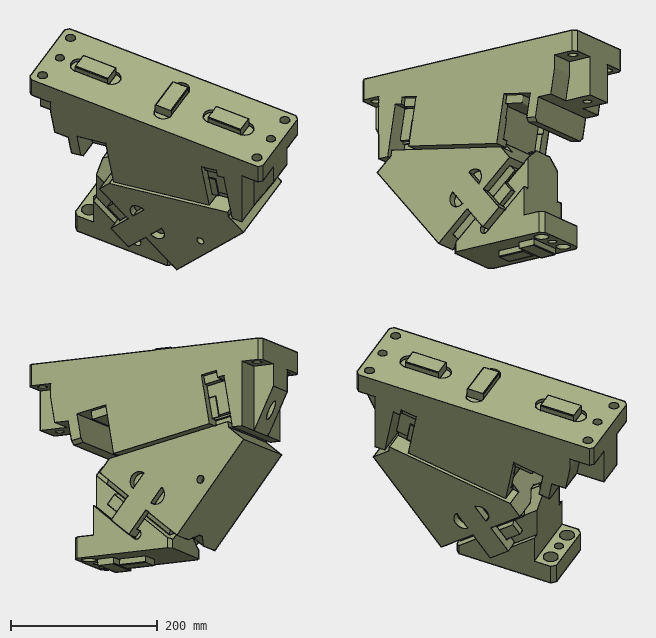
import cadquery as cq
import math


HALF_WIDTH = 55.0
FAR = 360.0
CORNER_CHAMFER = 5.0
DOWEL_DIAMETER = 12.2

KEY_HEIGHT = 9.0
KEY_LENGTH = 50.0
KEY_WIDTH = 25.0
KEY_EDGE_CHAMFER = 1.0

OVERALL_HEIGHT = 293.0
DRIVER_BOTTOM = KEY_HEIGHT
HOLDER_TOP = OVERALL_HEIGHT - KEY_HEIGHT

GUIDE_ANGLE = 10.0
GUIDE_ORIGIN = (127.8, 140.5)

RAMP_ANGLE = -40.0
RAMP_ORIGIN = (110.0, 122.0)

HOLDER_LENGTH = 360.0
PLATE_THICKNESS = 30.0
PLATE_BOTTOM = HOLDER_TOP - PLATE_THICKNESS
REAR_WEB_BOTTOM = HOLDER_TOP - 85.0
FRONT_HOOK_BOTTOM = HOLDER_TOP - 120.0
FRONT_WEB_CORNER = HOLDER_TOP - 61.0
WEB_HALF_WIDTH = 20.0
REAR_RELIEF_X = 34.5
REAR_RELIEF_SLOPE_TOP = PLATE_BOTTOM - 18.5
FRONT_RELIEF_X = 330.0

ROOF_H = 75.2
REAR_HOOK_S = (-54.7, -40.0)
REAR_HOOK_TIP_H = 35.3
REAR_HOOK_CHAMFER = 5.5
WALL_S = (5.0, 155.0)
WALL_BOTTOM_H = 5.0
FRONT_NOTCH_S = 178.5
FRONT_SLOT_S = 188.5

CHANNEL_TOP_H = 65.0
CHANNEL_HALF_WIDTH = 43.2
GIB_TOP_H = 14.8
GIB_GAP_HALF_WIDTH = 34.0
TOP_PAD_START_S = -22.5
TOP_PAD_BOTTOM_H = 63.5
SLIDING_EDGE_RADIUS = 1.8
TOP_PAD_HALF_WIDTH = 48.2
SIDE_PAD_END_S = 165.2
SIDE_PAD_TOP_H = 44.5
SIDE_PAD_INNER_Y = 41.5

SCREW_DIAMETER = 13.5
HOLDER_SCREW_X = (14.5, 345.5)
HOLDER_SCREW_Y = 40.5
HOLDER_DOWEL_X = (19.5, 345.5)
HOLDER_KEY_X = (75.0, 192.5, 280.0)
HOLDER_KEY_TURNS = (0, 90, 0)
KEY_POCKET_DEPTH = 5.0

SLIDE_LENGTH_U = 156.0
SLIDE_HEIGHT_V = 160.5
SLIDE_END_S = 183.2
FRONT_CORNER_LENGTH = 18.0
FRONT_CORNER_DEPTH = 7.5
STEM_HALF_WIDTH = 28.0
NECK_HALF_WIDTH = 32.5
HEAD_HALF_WIDTH = 39.5
HEAD_TOP_H = TOP_PAD_BOTTOM_H
HEAD_BOTTOM_H = 18.0
NECK_BOTTOM_H = 15.0
HEAD_START_S = 12.2

RIB_U = (10.8, 135.7)
RIB_BOTTOM_V = -8.5
VEE_CLEARANCE = 1.0
RIB_HALF_WIDTH = (38.5, 43.2)

CLAW_U = (57.5, 93.2)
CLAW_BOTTOM_V = -41.0
CLAW_TOP_V = -30.0
CLAW_PLATE_INNER_Y = 44.3
CLAW_TOE_INNER_Y = 35.0
CLAW_SLOT_V = (12.2, 37.8)

SIDE_HOLE_UV = (136.0, 80.3)
SIDE_HOLE_DIAMETER = 10.8
SIDE_HOLE_DEPTH = 14.5
DRILL_HALF_ANGLE = 59.0

DRIVER_X = (63.5, 214.0)
REAR_CORNER_CHAMFER = 6.0
DRIVER_HALF_WIDTH = 43.2
FLANGE_THICKNESS = 30.0
POST_REAR_X = 94.5
POST_TOP = 139.5
RIDGE_V = 10.8
RIDGE_HALF_WIDTH = 4.5
SHELF_HALF_WIDTH = 34.5
SHELF_V = -9.0
LUG_TOP_V = -12.2
LUG_START_U = 32.0
GROOVE_V = (-42.3, -28.98)
GROOVE_END_U = 96.5

FLANGE_SCREW_DIAMETER = 20.0
FLANGE_SCREW_Y = 25.2
FLANGE_HOLE_X = 78.0
CROSS_KEY_X = 103.5
LONG_KEY_X = 138.5
LONG_KEY_LENGTH = 40.5


def side_plane(origin, angle):
    """Plane square to Y whose local x axis runs along the slope."""
    slope = math.radians(angle)
    along = (math.cos(slope), 0, math.sin(slope))
    return cq.Plane(origin=(origin[0], 0, origin[1]), xDir=along, normal=(0, -1, 0))


def section_plane(origin, angle):
    """Plane square to the slope: local x is Y and local y is the distance above the slope."""
    slope = math.radians(angle)
    along = (math.cos(slope), 0, math.sin(slope))
    return cq.Plane(origin=(origin[0], 0, origin[1]), xDir=(0, 1, 0), normal=along)


GUIDE_SIDE = side_plane(GUIDE_ORIGIN, GUIDE_ANGLE)
RAMP_SIDE = side_plane(RAMP_ORIGIN, RAMP_ANGLE)
GUIDE_SECTION = section_plane(GUIDE_ORIGIN, GUIDE_ANGLE)
RAMP_SECTION = section_plane(RAMP_ORIGIN, RAMP_ANGLE)


def guide_point(s, h):
    """X and Z of a point of the guide frame."""
    point = GUIDE_SIDE.toWorldCoords((s, h, 0))
    return (point.x, point.z)


def guide_point_at_height(s, z):
    """X and Z of the point at height z on the line of constant s."""
    slope = math.radians(GUIDE_ANGLE)
    h = (z - GUIDE_ORIGIN[1] - s * math.sin(slope)) / math.cos(slope)
    return guide_point(s, h)


def side_box(plane, along, across, y_range):
    """Box given by its ranges along the slope, square to the slope, and in Y."""
    return (
        cq.Workplane(plane)
        .workplane(offset=-y_range[1])
        .center(sum(along) / 2, sum(across) / 2)
        .rect(along[1] - along[0], across[1] - across[0])
        .extrude(y_range[1] - y_range[0])
    )


def section_prism(plane, points, start, end):
    """Closed section swept straight along the slope from start to end."""
    return cq.Workplane(plane).workplane(offset=start).polyline(points).close().extrude(end - start)


def xz_prism(points, half_width):
    """Closed X-Z outline extruded evenly to both sides of Y = 0."""
    return cq.Workplane("XZ").polyline(points).close().extrude(half_width, both=True)


def box_between(x_range, y_range, z_range):
    """Box given by its ranges in X, Y and Z."""
    size = [high - low for low, high in (x_range, y_range, z_range)]
    corner = (x_range[0], y_range[0], z_range[0])
    return cq.Workplane("XY").box(*size, centered=False).translate(corner)


def with_mirror(body):
    """The body together with its mirror image across Y = 0."""
    return body.union(body.mirror("XZ"))


def vertical_holes(points, diameter):
    """Through-cutting cylinders along Z."""
    return cq.Workplane("XY").pushPoints(points).circle(diameter / 2).extrude(FAR)


def key(length, outer_face):
    """Key along X centred on Z = 0; the long edges of its outer face are chamfered."""
    block = cq.Workplane("XY").box(length, KEY_WIDTH, 2 * KEY_HEIGHT)
    return block.faces(outer_face).edges("|X").chamfer(KEY_EDGE_CHAMFER)


def holder_outline():
    """Side outline of the holder below its plate, from the top rear corner clockwise."""
    return [
        (0, PLATE_BOTTOM),
        (HOLDER_LENGTH, PLATE_BOTTOM),
        (HOLDER_LENGTH, FRONT_WEB_CORNER),
        (FRONT_RELIEF_X, FRONT_HOOK_BOTTOM),
        guide_point_at_height(FRONT_SLOT_S, FRONT_HOOK_BOTTOM),
        guide_point(FRONT_SLOT_S, CHANNEL_TOP_H),
        guide_point(FRONT_NOTCH_S, CHANNEL_TOP_H),
        guide_point(FRONT_NOTCH_S, ROOF_H),
        guide_point(WALL_S[1], ROOF_H),
        guide_point(WALL_S[1], WALL_BOTTOM_H),
        guide_point(WALL_S[0], WALL_BOTTOM_H),
        guide_point(WALL_S[0], ROOF_H),
        guide_point(REAR_HOOK_S[1], ROOF_H),
        guide_point(REAR_HOOK_S[1], REAR_HOOK_TIP_H),
        guide_point(REAR_HOOK_S[0], REAR_HOOK_TIP_H),
        guide_point_at_height(REAR_HOOK_S[0], REAR_WEB_BOTTOM),
        (0, REAR_WEB_BOTTOM),
    ]


def end_reliefs():
    """Side cuts that leave only a central web under both ends of the plate."""
    y_range = (WEB_HALF_WIDTH, FAR)
    slope_run = (REAR_RELIEF_SLOPE_TOP - REAR_WEB_BOTTOM) * math.tan(math.radians(GUIDE_ANGLE))
    rear_points = [
        (0, PLATE_BOTTOM),
        (REAR_RELIEF_X, PLATE_BOTTOM),
        (REAR_RELIEF_X, REAR_RELIEF_SLOPE_TOP),
        (REAR_RELIEF_X + slope_run, REAR_WEB_BOTTOM),
        (0, REAR_WEB_BOTTOM),
    ]
    rear = xz_prism(rear_points, FAR).intersect(box_between((0, FAR), y_range, (0, PLATE_BOTTOM)))
    front = box_between((FRONT_RELIEF_X, HOLDER_LENGTH), y_range, (0, PLATE_BOTTOM))
    return with_mirror(rear.union(front))


def rear_hook_chamfers():
    """Wedges that bevel the outer corners of the rear hook's tip."""
    points = [
        (HALF_WIDTH - REAR_HOOK_CHAMFER, REAR_HOOK_TIP_H),
        (HALF_WIDTH, REAR_HOOK_TIP_H),
        (HALF_WIDTH, REAR_HOOK_TIP_H + REAR_HOOK_CHAMFER),
    ]
    return with_mirror(section_prism(GUIDE_SECTION, points, REAR_HOOK_S[0], REAR_HOOK_S[1]))


def holder_channel():
    """T channel between the walls, with the narrower gap between the gibs below it."""
    points = [
        (-CHANNEL_HALF_WIDTH, CHANNEL_TOP_H),
        (CHANNEL_HALF_WIDTH, CHANNEL_TOP_H),
        (CHANNEL_HALF_WIDTH, GIB_TOP_H),
        (GIB_GAP_HALF_WIDTH, GIB_TOP_H),
        (GIB_GAP_HALF_WIDTH, WALL_BOTTOM_H),
        (-GIB_GAP_HALF_WIDTH, WALL_BOTTOM_H),
        (-GIB_GAP_HALF_WIDTH, GIB_TOP_H),
        (-CHANNEL_HALF_WIDTH, GIB_TOP_H),
    ]
    return section_prism(GUIDE_SECTION, points, WALL_S[0], WALL_S[1])


def holder_pads():
    """Wear pads of the channel: one on its roof and one on each side wall."""
    top_pad = side_box(
        GUIDE_SIDE,
        (TOP_PAD_START_S, FRONT_NOTCH_S),
        (TOP_PAD_BOTTOM_H, ROOF_H),
        (-TOP_PAD_HALF_WIDTH, TOP_PAD_HALF_WIDTH),
    )
    top_pad = top_pad.faces("<Z").edges().fillet(SLIDING_EDGE_RADIUS)
    side_pad = side_box(
        GUIDE_SIDE,
        (WALL_S[0], SIDE_PAD_END_S),
        (GIB_TOP_H, SIDE_PAD_TOP_H),
        (SIDE_PAD_INNER_Y, CHANNEL_HALF_WIDTH),
    )
    return top_pad.union(with_mirror(side_pad))


def make_holder():
    plate = box_between((0, HOLDER_LENGTH), (-HALF_WIDTH, HALF_WIDTH), (PLATE_BOTTOM, HOLDER_TOP))
    plate = plate.edges("|Z").chamfer(CORNER_CHAMFER)
    body = plate.union(xz_prism(holder_outline(), HALF_WIDTH))
    body = body.cut(end_reliefs()).cut(rear_hook_chamfers()).cut(holder_channel())
    body = body.union(holder_pads())

    screws = [(x, side * HOLDER_SCREW_Y) for x in HOLDER_SCREW_X for side in (-1, 1)]
    body = body.cut(vertical_holes(screws, SCREW_DIAMETER))
    body = body.cut(vertical_holes([(x, 0) for x in HOLDER_DOWEL_X], DOWEL_DIAMETER))

    for x, turn in zip(HOLDER_KEY_X, HOLDER_KEY_TURNS):
        pocket = (
            cq.Workplane("XY", origin=(x, 0, HOLDER_TOP))
            .slot2D(KEY_LENGTH + KEY_WIDTH, KEY_WIDTH, turn)
            .extrude(-KEY_POCKET_DEPTH)
        )
        top_key = key(KEY_LENGTH, ">Z").rotate((0, 0, 0), (0, 0, 1), turn)
        body = body.cut(pocket).union(top_key.translate((x, 0, HOLDER_TOP)))
    return body


def slide_block():
    """Main block square to the ramp and cut off by the shoulder, with a squared front corner."""
    across = (-HALF_WIDTH, HALF_WIDTH)
    ramp_block = side_box(RAMP_SIDE, (0, SLIDE_LENGTH_U), (0, SLIDE_HEIGHT_V), across)
    below_shoulder = side_box(GUIDE_SIDE, (-FAR, FAR), (-FAR, 0), across)
    front_corner_s = (SLIDE_END_S - FRONT_CORNER_LENGTH, SLIDE_END_S)
    front_corner = side_box(GUIDE_SIDE, front_corner_s, (-FRONT_CORNER_DEPTH, 0), across)
    return ramp_block.intersect(below_shoulder).union(front_corner)


def slide_tee():
    """T-shaped tongue that hangs the slide in the holder, with a heel flush with the rear face."""
    half_section = [
        (STEM_HALF_WIDTH, 0),
        (STEM_HALF_WIDTH, NECK_BOTTOM_H),
        (NECK_HALF_WIDTH, NECK_BOTTOM_H),
        (NECK_HALF_WIDTH, HEAD_BOTTOM_H),
        (HEAD_HALF_WIDTH, HEAD_BOTTOM_H),
        (HEAD_HALF_WIDTH, HEAD_TOP_H),
    ]
    points = half_section + [(-y, h) for y, h in reversed(half_section)]
    tee = section_prism(GUIDE_SECTION, points, HEAD_START_S, SLIDE_END_S)
    tee = tee.faces(">Z").edges(">Y or <Y").fillet(SLIDING_EDGE_RADIUS)
    heel = side_box(
        GUIDE_SIDE,
        (-HEAD_START_S, HEAD_START_S),
        (0, NECK_BOTTOM_H),
        (-STEM_HALF_WIDTH, STEM_HALF_WIDTH),
    )
    ahead_of_rear_face = side_box(RAMP_SIDE, (0, FAR), (-FAR, FAR), (-HALF_WIDTH, HALF_WIDTH))
    return tee.union(heel.intersect(ahead_of_rear_face))


def slide_rib():
    """Bevelled rib under the block, which runs along the driver's ridge."""
    bottom, root = RIB_HALF_WIDTH
    points = [(-root, 0), (root, 0), (bottom, RIB_BOTTOM_V), (-bottom, RIB_BOTTOM_V)]
    return section_prism(RAMP_SECTION, points, RIB_U[0], RIB_U[1])


def vee_groove():
    """V cut that fits over the driver's ridge with a small clearance."""
    bottom = SHELF_V + VEE_CLEARANCE
    top = RIDGE_V + VEE_CLEARANCE
    points = [
        (-SHELF_HALF_WIDTH, bottom),
        (-RIDGE_HALF_WIDTH, top),
        (RIDGE_HALF_WIDTH, top),
        (SHELF_HALF_WIDTH, bottom),
        (SHELF_HALF_WIDTH, RIB_BOTTOM_V),
        (-SHELF_HALF_WIDTH, RIB_BOTTOM_V),
    ]
    return section_prism(RAMP_SECTION, points, -FAR, FAR)


def claw_pockets():
    """Slot with round ends in each side; the claw plate fills all but its two ends."""
    low, high = CLAW_SLOT_V
    radius = (high - low) / 2
    ends = [(u, (low + high) / 2) for u in CLAW_U]
    rounds = (
        cq.Workplane(RAMP_SIDE)
        .workplane(offset=CLAW_PLATE_INNER_Y)
        .pushPoints(ends)
        .circle(radius)
        .extrude(HALF_WIDTH - CLAW_PLATE_INNER_Y)
    )
    plate = side_box(RAMP_SIDE, CLAW_U, CLAW_SLOT_V, (-HALF_WIDTH, HALF_WIDTH))
    return with_mirror(rounds.cut(plate))


def claws():
    """Plates down both sides of the driver, with toes that hook under its lugs."""
    plate = side_box(RAMP_SIDE, CLAW_U, (CLAW_BOTTOM_V, 0), (CLAW_PLATE_INNER_Y, HALF_WIDTH))
    toe = side_box(RAMP_SIDE, CLAW_U, (CLAW_BOTTOM_V, CLAW_TOP_V), (CLAW_TOE_INNER_Y, HALF_WIDTH))
    return with_mirror(plate.union(toe))


def side_hole():
    """Blind drilled hole with a conical bottom, in the -Y side."""
    radius = SIDE_HOLE_DIAMETER / 2
    tip_depth = SIDE_HOLE_DEPTH + radius / math.tan(math.radians(DRILL_HALF_ANGLE))
    half_profile = [(0, 0), (radius, 0), (radius, SIDE_HOLE_DEPTH), (0, tip_depth)]
    drill = cq.Workplane("XY").polyline(half_profile).close().revolve(360, (0, 0), (0, 1))
    mouth = RAMP_SIDE.toWorldCoords((*SIDE_HOLE_UV, HALF_WIDTH))
    return drill.translate(mouth)


def make_slide():
    body = slide_block().union(slide_tee()).union(slide_rib()).cut(vee_groove())
    return body.cut(claw_pockets()).union(claws()).cut(side_hole())


def ridge_envelope():
    """Everything below the V ridge and its shelves, along the whole ramp."""
    points = [
        (RIDGE_HALF_WIDTH, RIDGE_V),
        (SHELF_HALF_WIDTH, SHELF_V),
        (DRIVER_HALF_WIDTH, LUG_TOP_V),
        (DRIVER_HALF_WIDTH, -FAR),
        (-DRIVER_HALF_WIDTH, -FAR),
        (-DRIVER_HALF_WIDTH, LUG_TOP_V),
        (-SHELF_HALF_WIDTH, SHELF_V),
        (-RIDGE_HALF_WIDTH, RIDGE_V),
    ]
    return section_prism(RAMP_SECTION, points, -FAR, FAR)


def claw_grooves():
    """Round-ended groove under each lug, and the open side behind the lug where the claw enters."""
    low, high = GROOVE_V
    y_range = (SHELF_HALF_WIDTH, DRIVER_HALF_WIDTH)
    groove = side_box(RAMP_SIDE, (-FAR, GROOVE_END_U), GROOVE_V, y_range)
    round_end = (
        cq.Workplane(RAMP_SIDE)
        .workplane(offset=-DRIVER_HALF_WIDTH)
        .center(GROOVE_END_U, (low + high) / 2)
        .circle((high - low) / 2)
        .extrude(DRIVER_HALF_WIDTH - SHELF_HALF_WIDTH)
    )
    entry = side_box(RAMP_SIDE, (-FAR, LUG_START_U), (low, FAR), y_range)
    return with_mirror(groove.union(round_end).union(entry))


def make_driver():
    across = (-DRIVER_HALF_WIDTH, DRIVER_HALF_WIDTH)
    flange = box_between(DRIVER_X, across, (DRIVER_BOTTOM, DRIVER_BOTTOM + FLANGE_THICKNESS))
    flange = flange.edges("|Z and <X").chamfer(REAR_CORNER_CHAMFER)
    post = box_between((POST_REAR_X, DRIVER_X[1]), across, (DRIVER_BOTTOM, POST_TOP))
    body = flange.union(post).edges("|Z and >X").chamfer(CORNER_CHAMFER)
    body = body.intersect(ridge_envelope()).cut(claw_grooves())

    screws = [(FLANGE_HOLE_X, side * FLANGE_SCREW_Y) for side in (-1, 1)]
    body = body.cut(vertical_holes(screws, FLANGE_SCREW_DIAMETER))
    body = body.cut(vertical_holes([(FLANGE_HOLE_X, 0)], DOWEL_DIAMETER))

    cross_key = key(KEY_LENGTH, "<Z").rotate((0, 0, 0), (0, 0, 1), 90)
    long_key = key(LONG_KEY_LENGTH, "<Z")
    body = body.union(cross_key.translate((CROSS_KEY_X, 0, DRIVER_BOTTOM)))
    return body.union(long_key.translate((LONG_KEY_X, 0, DRIVER_BOTTOM)))


holder = make_holder()
slide = make_slide()
driver = make_driver()

result = cq.Compound.makeCompound(
    [*holder.solids().vals(), *slide.solids().vals(), *driver.solids().vals()]
)